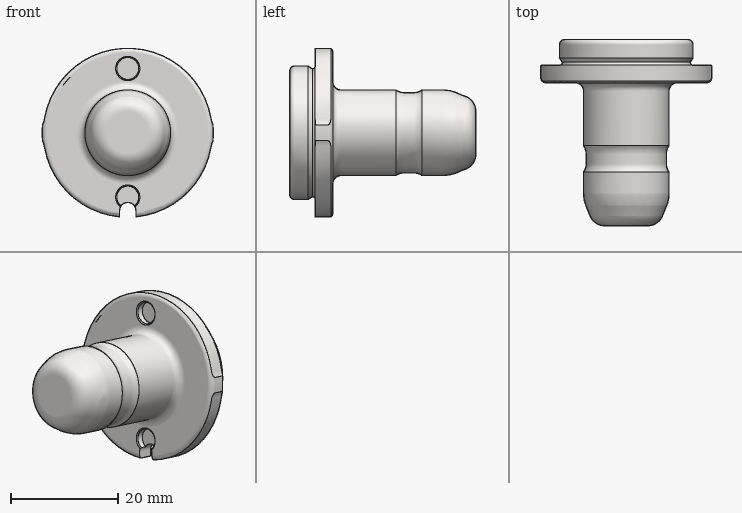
import cadquery as cq
import math

total_length = 34.8

spigot_radius = 12.5
spigot_edge_fillet = 1.0
relief_start = 3.45
relief_floor = 4.25
relief_radius = 11.97

flange_rear = 4.8
flange_front = 8.1
flange_radius = 31.55 / 2
flange_front_fillet = 1.0
flange_rear_fillet = 0.2

lug_radius = 31.98 / 2
lug_half_width = 1.45
lug_root_half_width = 2.7

shaft_radius = 8.0
shaft_root_fillet = 1.5
groove_radius = 7.5
groove_start = 19.85
groove_end = 24.75
groove_side_length = 1.45

nose_angle = math.radians(22.5)
nose_tip_radius = 4.0
nose_tip_fillet = 3.0
nose_shoulder_fillet = 6.0

pin_hole_radius = 4.1 / 2
pin_hole_offset = 12.0
pin_hole_depth = 1.5
pin_hole_chamfer = 0.2

slot_radius = 1.5
slot_center_offset = 14.5


def arc_point(center, radius, angle):
    """Point on a circle in the (radius, depth) half-plane."""
    return (center[0] + radius * math.cos(angle), center[1] + radius * math.sin(angle))


def profile(points):
    """Convert (radius, depth) points to sketch points; depth runs toward -Y."""
    return [(radius, -depth) for radius, depth in points]


def revolve_about_y(sketch):
    return sketch.close().revolve(360, (0, 0, 0), (0, 1, 0))


def make_spigot():
    edge_center = (spigot_radius - spigot_edge_fillet, spigot_edge_fillet)
    root_fillet = flange_rear - relief_floor
    root_center = (relief_radius + root_fillet, relief_floor)
    points = profile([
        (edge_center[0], 0),
        arc_point(edge_center, spigot_edge_fillet, -math.pi / 4),
        (spigot_radius, edge_center[1]),
        (spigot_radius, relief_start),
        (relief_radius, relief_floor),
        arc_point(root_center, root_fillet, 3 * math.pi / 4),
        (root_center[0], flange_rear),
        (0, flange_rear),
    ])
    sketch = (
        cq.Workplane("XY")
        .lineTo(*points[0])
        .threePointArc(points[1], points[2])
        .lineTo(*points[3])
        .lineTo(*points[4])
        .threePointArc(points[5], points[6])
        .lineTo(*points[7])
    )
    return revolve_about_y(sketch)


def flange_cylinder(radius):
    return (
        cq.Workplane("XZ", origin=(0, -flange_rear, 0))
        .circle(radius)
        .extrude(flange_front - flange_rear)
    )


def make_lug(side):
    """Prism from the axis to a side lug, whose concave flanks run tangent into the flange rim."""
    root_x = math.sqrt(flange_radius**2 - lug_root_half_width**2)
    crest_x = math.sqrt(lug_radius**2 - lug_half_width**2)
    root = (root_x, lug_root_half_width)
    crest = (crest_x, lug_half_width)

    step = (crest[0] - root[0], crest[1] - root[1])
    outward = (root[0] / flange_radius, root[1] / flange_radius)
    flank_radius = math.hypot(*step) ** 2 / (2 * (step[0] * outward[0] + step[1] * outward[1]))
    center = (root[0] + flank_radius * outward[0], root[1] + flank_radius * outward[1])
    to_chord = ((root[0] + crest[0]) / 2 - center[0], (root[1] + crest[1]) / 2 - center[1])
    reach = flank_radius / math.hypot(*to_chord)
    middle = (center[0] + reach * to_chord[0], center[1] + reach * to_chord[1])

    return (
        cq.Workplane("XZ", origin=(0, -flange_rear, 0))
        .lineTo(side * root[0], -root[1])
        .threePointArc((side * middle[0], -middle[1]), (side * crest[0], -crest[1]))
        .threePointArc((side * lug_radius, 0), (side * crest[0], crest[1]))
        .threePointArc((side * middle[0], middle[1]), (side * root[0], root[1]))
        .close()
        .extrude(flange_front - flange_rear)
    )


def make_flange():
    """Edge-rounded disc of the lug radius, trimmed to the smaller rim everywhere but the lugs."""
    disc = (
        flange_cylinder(lug_radius)
        .faces("<Y").edges().fillet(flange_front_fillet)
        .faces(">Y").edges().fillet(flange_rear_fillet)
    )
    outline = flange_cylinder(flange_radius)
    for side in (-1, 1):
        outline = outline.union(make_lug(side))
    return disc.intersect(outline)


def make_shaft():
    """Solid shaft with a root fillet, a latch groove and a rounded conical nose."""
    root_radius = shaft_radius + shaft_root_fillet
    root_end = flange_front + shaft_root_fillet
    root_middle = arc_point((root_radius, root_end), shaft_root_fillet, -3 * math.pi / 4)

    groove_depth = shaft_radius - groove_radius
    side_radius = (groove_side_length**2 + groove_depth**2) / (2 * groove_depth)
    side_angle = math.asin(groove_side_length / side_radius)
    floor_start = groove_start + groove_side_length
    floor_end = groove_end - groove_side_length
    side_center_radius = groove_radius + side_radius
    entry_middle = arc_point((side_center_radius, floor_start), side_radius, math.pi + side_angle / 2)
    exit_middle = arc_point((side_center_radius, floor_end), side_radius, math.pi - side_angle / 2)

    tip_center = (nose_tip_radius, total_length - nose_tip_fillet)
    cone_end = arc_point(tip_center, nose_tip_fillet, nose_angle)
    tip_middle = arc_point(tip_center, nose_tip_fillet, (nose_angle + math.pi / 2) / 2)
    shoulder_center_radius = shaft_radius - nose_shoulder_fillet
    cone_start_radius = shoulder_center_radius + nose_shoulder_fillet * math.cos(nose_angle)
    cone_length = (cone_start_radius - cone_end[0]) / math.tan(nose_angle)
    cone_start = (cone_start_radius, cone_end[1] - cone_length)
    shoulder_start = cone_start[1] - nose_shoulder_fillet * math.sin(nose_angle)
    shoulder_center = (shoulder_center_radius, shoulder_start)
    shoulder_middle = arc_point(shoulder_center, nose_shoulder_fillet, nose_angle / 2)

    sketch = (
        cq.Workplane("XY")
        .moveTo(0, -flange_rear)
        .lineTo(root_radius, -flange_rear)
        .lineTo(root_radius, -flange_front)
        .threePointArc(*profile([root_middle, (shaft_radius, root_end)]))
        .lineTo(shaft_radius, -groove_start)
        .threePointArc(*profile([entry_middle, (groove_radius, floor_start)]))
        .lineTo(groove_radius, -floor_end)
        .threePointArc(*profile([exit_middle, (shaft_radius, groove_end)]))
        .lineTo(shaft_radius, -shoulder_start)
        .threePointArc(*profile([shoulder_middle, cone_start]))
        .lineTo(cone_end[0], -cone_end[1])
        .threePointArc(*profile([tip_middle, (nose_tip_radius, total_length)]))
        .lineTo(0, -total_length)
    )
    return revolve_about_y(sketch)


def make_pin_hole(height):
    """Blind hole in the flange front face, with a chamfered mouth."""
    mouth_radius = pin_hole_radius + pin_hole_chamfer
    sketch = cq.Workplane("XY", origin=(0, -flange_front, height)).polyline([
        (0, 0),
        (mouth_radius, 0),
        (pin_hole_radius, pin_hole_chamfer),
        (pin_hole_radius, pin_hole_depth),
        (0, pin_hole_depth),
    ])
    return revolve_about_y(sketch)


def make_slot():
    """Round-ended slot through the flange, open at the bottom of the rim."""
    return (
        cq.Workplane("XZ", origin=(0, -flange_rear, 0))
        .moveTo(-slot_radius, -lug_radius)
        .lineTo(-slot_radius, -slot_center_offset)
        .threePointArc((0, slot_radius - slot_center_offset), (slot_radius, -slot_center_offset))
        .lineTo(slot_radius, -lug_radius)
        .close()
        .extrude(flange_front - flange_rear)
    )


result = make_spigot().union(make_flange()).union(make_shaft())
for hole_height in (-pin_hole_offset, pin_hole_offset):
    result = result.cut(make_pin_hole(hole_height))
result = result.cut(make_slot())